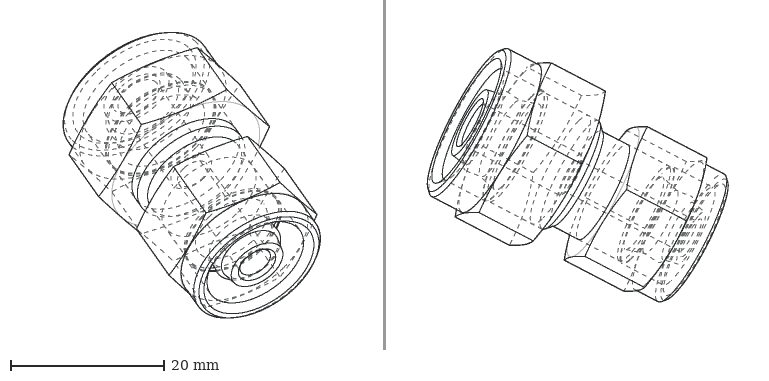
import cadquery as cq
import math


TOTAL_LENGTH = 34.3
LARGE_NUT_LENGTH = 14.13
SMALL_NUT_LENGTH = 13.75

LARGE_THREAD_RADIUS = 8.0
SMALL_THREAD_RADIUS = 7.0
TAPER_START = 15.6
TAPER_LENGTH = LARGE_THREAD_RADIUS - SMALL_THREAD_RADIUS
THREAD_END_DEPTH = 7.6

NIPPLE_TIP_DEPTH = 0.5
NIPPLE_STEP_DEPTH = 2.5
ROOT_FLARE_LENGTH = 2.5
NIPPLE_ROOT_INSET = 1.68
NIPPLE_NECK_INSET = 2.35
NIPPLE_CREST_INSET = 2.15
NIPPLE_STEP_INSET = 2.78
NIPPLE_TIP_INSET = 3.15
STEP_ROUND = NIPPLE_STEP_INSET - NIPPLE_CREST_INSET

BORE_RADIUS = 2.25
COUNTERBORE_RADIUS = 3.02
COUNTERBORE_END = TAPER_START
DRILL_HALF_ANGLE = 60.0
BORE_CHAMFER = 0.5

LARGE_ACROSS_FLATS = 22.0
SMALL_ACROSS_FLATS = 19.05
LARGE_COLLAR_LENGTH = 5.05
SMALL_COLLAR_LENGTH = 3.98
COLLAR_INSET = 0.1
COLLAR_CHAMFER = 0.5
HEX_CHAMFER_ANGLE = 15.0
RELIEF_CLEARANCE = 0.17
RELIEF_DEPTH = 7.1
MOUTH_CHAMFER = 1.0


def revolve_about_x(outline):
    """Revolve a closed outline of axial and radial coordinates about the X axis."""
    return outline.close().revolve(360, (0, 0, 0), (1, 0, 0))


def make_nipple(thread_radius):
    """Solid nipple, tip towards -X, with the nut's outer face at X = 0.

    A tapered tip meets a rounded step, then narrows to a neck that flares out to the thread's end face.
    """
    step_radius = thread_radius - NIPPLE_STEP_INSET
    crest_radius = thread_radius - NIPPLE_CREST_INSET
    diagonal = STEP_ROUND * math.sqrt(0.5)
    arc_middle = (NIPPLE_STEP_DEPTH + STEP_ROUND - diagonal, step_radius + diagonal)
    outline = (
        cq.Workplane("XY")
        .moveTo(NIPPLE_TIP_DEPTH, 0)
        .lineTo(NIPPLE_TIP_DEPTH, thread_radius - NIPPLE_TIP_INSET)
        .lineTo(NIPPLE_STEP_DEPTH, step_radius)
        .threePointArc(arc_middle, (NIPPLE_STEP_DEPTH + STEP_ROUND, crest_radius))
        .lineTo(THREAD_END_DEPTH - ROOT_FLARE_LENGTH, thread_radius - NIPPLE_NECK_INSET)
        .lineTo(THREAD_END_DEPTH, thread_radius - NIPPLE_ROOT_INSET)
        .lineTo(THREAD_END_DEPTH, 0)
    )
    return revolve_about_x(outline)


def face_other_way(shape):
    """Turn a shape built from the -X end so that it sits at the +X end."""
    return shape.rotate((0, 0, 0), (0, 0, 1), 180).translate((TOTAL_LENGTH, 0, 0))


def make_core():
    """Threaded middle of the body, stepping down by a cone from the large thread to the small one."""
    outline = cq.Workplane("XY").polyline([
        (THREAD_END_DEPTH, 0),
        (THREAD_END_DEPTH, LARGE_THREAD_RADIUS),
        (TAPER_START, LARGE_THREAD_RADIUS),
        (TAPER_START + TAPER_LENGTH, SMALL_THREAD_RADIUS),
        (TOTAL_LENGTH - THREAD_END_DEPTH, SMALL_THREAD_RADIUS),
        (TOTAL_LENGTH - THREAD_END_DEPTH, 0),
    ])
    return revolve_about_x(outline)


def make_passage():
    """Through bore, widened from the -X end and chamfered at both mouths."""
    tip = NIPPLE_TIP_DEPTH
    far_tip = TOTAL_LENGTH - NIPPLE_TIP_DEPTH
    drill_cone = (COUNTERBORE_RADIUS - BORE_RADIUS) / math.tan(math.radians(DRILL_HALF_ANGLE))
    outline = cq.Workplane("XY").polyline([
        (tip, 0),
        (tip, COUNTERBORE_RADIUS + BORE_CHAMFER),
        (tip + BORE_CHAMFER, COUNTERBORE_RADIUS),
        (COUNTERBORE_END, COUNTERBORE_RADIUS),
        (COUNTERBORE_END + drill_cone, BORE_RADIUS),
        (far_tip - BORE_CHAMFER, BORE_RADIUS),
        (far_tip, BORE_RADIUS + BORE_CHAMFER),
        (far_tip, 0),
    ])
    return revolve_about_x(outline)


def make_body():
    large_nipple = make_nipple(LARGE_THREAD_RADIUS)
    small_nipple = face_other_way(make_nipple(SMALL_THREAD_RADIUS))
    return make_core().union(large_nipple).union(small_nipple).cut(make_passage())


def make_nut_hexagon(across_flats, start, end):
    """Hexagon along X, flats facing +Z and -Z, with the corners of both ends turned off."""
    flat_radius = across_flats / 2
    corner_radius = flat_radius / math.cos(math.radians(30))
    corner_cut = (corner_radius - flat_radius) * math.tan(math.radians(HEX_CHAMFER_ANGLE))
    prism = (
        cq.Workplane("YZ", origin=(start, 0, 0))
        .polygon(6, 2 * corner_radius)
        .extrude(end - start)
    )
    envelope = revolve_about_x(cq.Workplane("XY").polyline([
        (start, 0),
        (start, flat_radius),
        (start + corner_cut, corner_radius),
        (end - corner_cut, corner_radius),
        (end, flat_radius),
        (end, 0),
    ]))
    return prism.intersect(envelope)


def make_nut_cavity(thread_radius, length):
    """Chamfered mouth and hose cavity, stepping down to the thread."""
    relief_radius = thread_radius + RELIEF_CLEARANCE
    return revolve_about_x(cq.Workplane("XY").polyline([
        (0, 0),
        (0, relief_radius + MOUTH_CHAMFER),
        (MOUTH_CHAMFER, relief_radius),
        (RELIEF_DEPTH, relief_radius),
        (RELIEF_DEPTH, thread_radius),
        (length, thread_radius),
        (length, 0),
    ]))


def make_nut(across_flats, thread_radius, collar_length, length):
    """Union nut with its round collar towards -X and its outer face at X = 0."""
    collar = (
        cq.Workplane("YZ")
        .circle(across_flats / 2 - COLLAR_INSET)
        .extrude(collar_length)
        .faces("<X")
        .chamfer(COLLAR_CHAMFER)
    )
    hexagon = make_nut_hexagon(across_flats, collar_length, length)
    return collar.union(hexagon).cut(make_nut_cavity(thread_radius, length))


body = make_body()
large_nut = make_nut(LARGE_ACROSS_FLATS, LARGE_THREAD_RADIUS, LARGE_COLLAR_LENGTH, LARGE_NUT_LENGTH)
small_nut = face_other_way(
    make_nut(SMALL_ACROSS_FLATS, SMALL_THREAD_RADIUS, SMALL_COLLAR_LENGTH, SMALL_NUT_LENGTH)
)

result = cq.Compound.makeCompound([body.val(), large_nut.val(), small_nut.val()])